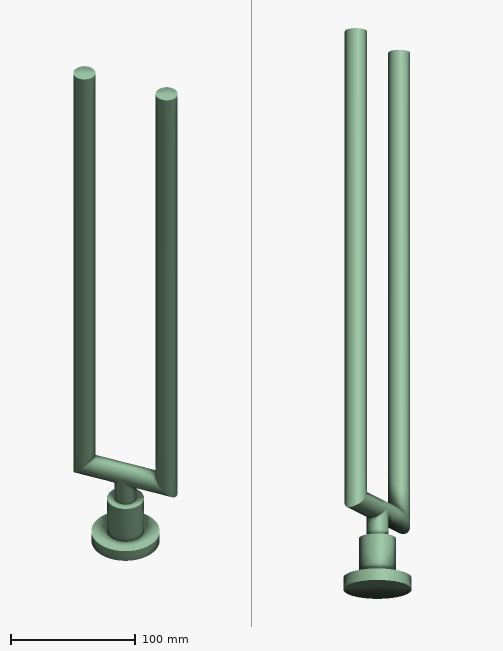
import cadquery as cq

total_height = 459.0
fork_width = 90.0
rod_diameter = 18.0
flange_diameter = 55.0
flange_thickness = 9.5
collar_diameter = 30.0
collar_top = 42.5
crossbar_underside = 58.0

rod_radius = rod_diameter / 2
half_width = fork_width / 2
post_offset = half_width - rod_radius
crossbar_axis_height = crossbar_underside + rod_radius
crossbar_top = crossbar_underside + rod_diameter


def make_base():
    """Round flange with a collar standing on it."""
    flange = cq.Workplane("XY").circle(flange_diameter / 2).extrude(flange_thickness)
    return flange.faces(">Z").workplane().circle(collar_diameter / 2).extrude(collar_top - flange_thickness)


def crossbar_rod():
    """Full-width rod along X, before its ends are mitred."""
    return (
        cq.Workplane("YZ", origin=(-half_width, 0, crossbar_axis_height))
        .circle(rod_radius)
        .extrude(fork_width)
    )


def make_stem():
    """Rod from the collar to the crossbar, its upper end saddled around the crossbar."""
    rod = (
        cq.Workplane("XY", origin=(0, 0, collar_top))
        .circle(rod_radius)
        .extrude(crossbar_axis_height - collar_top)
    )
    return rod.cut(crossbar_rod())


def make_crossbar():
    """Crossbar whose two ends are mitred at 45 degrees, longest along the underside."""
    mitre_envelope = (
        cq.Workplane("XZ")
        .polyline([
            (-half_width, crossbar_underside),
            (half_width, crossbar_underside),
            (half_width - rod_diameter, crossbar_top),
            (rod_diameter - half_width, crossbar_top),
        ])
        .close()
        .extrude(rod_radius, both=True)
    )
    return crossbar_rod().intersect(mitre_envelope)


def make_post(side):
    """Upright rod at one end of the crossbar; side is -1 or +1 along X."""
    outer_x = side * half_width
    inner_x = side * (half_width - rod_diameter)
    rod = (
        cq.Workplane("XY", origin=(side * post_offset, 0, crossbar_underside))
        .circle(rod_radius)
        .extrude(total_height - crossbar_underside)
    )
    mitre_envelope = (
        cq.Workplane("XZ")
        .polyline([
            (outer_x, crossbar_underside),
            (outer_x, total_height),
            (inner_x, total_height),
            (inner_x, crossbar_top),
        ])
        .close()
        .extrude(rod_radius, both=True)
    )
    return rod.intersect(mitre_envelope)


base = make_base()
stem = make_stem()
crossbar = make_crossbar()
posts = [make_post(side) for side in (-1, 1)]

result = cq.Compound.makeCompound([
    base.val(),
    stem.val(),
    crossbar.val(),
    *[post.val() for post in posts],
])